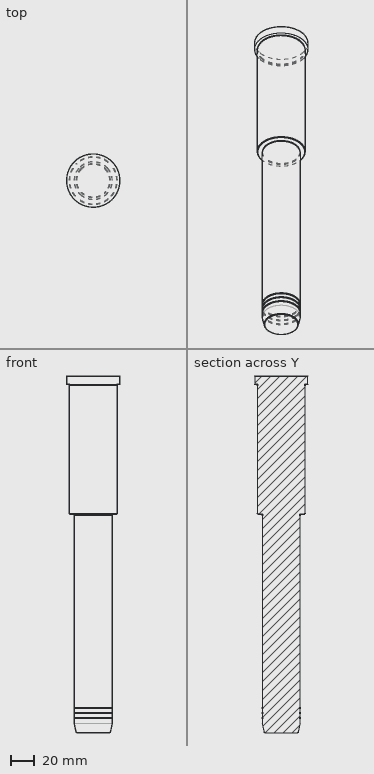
import cadquery as cq

total_length = 300.0
head_diameter = 45.0
collar_diameter = 40.5
shaft_diameter = 32.0

head_height = 7.0
collar_bottom_depth = 116.0
collar_chamfer = 0.5

relief_width = 1.0
relief_depth = 0.3

nose_height = 8.0
tip_diameter = 28.8
tip_chamfer = 0.5
nose_bulge = 0.15

groove_count = 3
groove_pitch = 4.2
groove_width = 1.0
groove_depth = 0.3
lowest_groove_center = 12.5

head_radius = head_diameter / 2
collar_radius = collar_diameter / 2
shaft_radius = shaft_diameter / 2
tip_radius = tip_diameter / 2
head_bottom = total_length - head_height
collar_bottom = total_length - collar_bottom_depth


def ring(radius, depth, bottom, width):
    """Ring to cut into a round surface of the given radius."""
    return (
        cq.Workplane("XY", origin=(0, 0, bottom))
        .circle(radius + depth)
        .circle(radius - depth)
        .extrude(width)
    )


nose_middle = ((shaft_radius + tip_radius) / 2 + nose_bulge, (tip_chamfer + nose_height) / 2)
result = (
    cq.Workplane("XZ")
    .lineTo(tip_radius - tip_chamfer, 0)
    .lineTo(tip_radius, tip_chamfer)
    .threePointArc(nose_middle, (shaft_radius, nose_height))
    .lineTo(shaft_radius, collar_bottom)
    .lineTo(collar_radius - collar_chamfer, collar_bottom)
    .lineTo(collar_radius, collar_bottom + collar_chamfer)
    .lineTo(collar_radius, head_bottom)
    .lineTo(head_radius, head_bottom)
    .lineTo(head_radius, total_length)
    .lineTo(0, total_length)
    .close()
    .revolve(360, (0, 0, 0), (0, 1, 0))
)

for radius, shoulder in ((collar_radius, head_bottom), (shaft_radius, collar_bottom)):
    result = result.cut(ring(radius, relief_depth, shoulder - relief_width, relief_width))

for index in range(groove_count):
    groove_bottom = lowest_groove_center + index * groove_pitch - groove_width / 2
    result = result.cut(ring(shaft_radius, groove_depth, groove_bottom, groove_width))